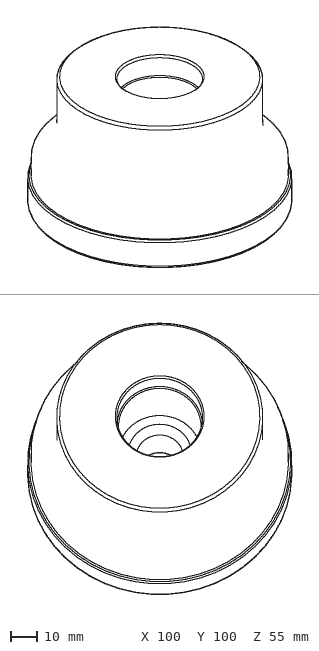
import cadquery as cq
import math

height = 55.0
base_radius = 50.0
base_height = 12.0
base_chamfer_width = 0.5
base_chamfer_height = 0.9
shoulder_radius = 48.7
neck_radius = 39.0
neck_bottom = 35.5
neck_chamfer = 1.1

flare_angle = math.radians(45)
neck_blend = 10.0
shoulder_blend = 4.0

mouth_radius = 16.2
mouth_depth = 8.8
mouth_chamfer = 0.6
mouth_chamfer_depth = 1.0
bore_radius = 15.6
bore_step_height = 0.4
bore_floor = 20.0
hole_radius = 8.9
seat_radius = 12.0
seat_depth = seat_radius - hole_radius


def blend_offsets(radius, angle):
    """Radial and axial change along an arc that starts parallel to the axis."""
    return radius * (1 - math.cos(angle)), radius * math.sin(angle)


def turned_body():
    full_dr, full_dz = blend_offsets(neck_blend, flare_angle)
    half_dr, half_dz = blend_offsets(neck_blend, flare_angle / 2)
    neck_mid = (neck_radius + half_dr, neck_bottom - half_dz)
    cone_top = (neck_radius + full_dr, neck_bottom - full_dz)

    full_dr, full_dz = blend_offsets(shoulder_blend, flare_angle)
    half_dr, half_dz = blend_offsets(shoulder_blend, flare_angle / 2)
    cone_bottom_radius = shoulder_radius - full_dr
    cone_height = (cone_bottom_radius - cone_top[0]) / math.tan(flare_angle)
    cone_bottom = (cone_bottom_radius, cone_top[1] - cone_height)
    shoulder_top = cone_bottom[1] - full_dz
    shoulder_mid = (shoulder_radius - half_dr, shoulder_top + half_dz)

    return (
        cq.Workplane("XZ")
        .moveTo(0, 0)
        .lineTo(base_radius - base_chamfer_width, 0)
        .lineTo(base_radius, base_chamfer_height)
        .lineTo(base_radius, base_height - base_chamfer_height)
        .lineTo(base_radius - base_chamfer_width, base_height)
        .lineTo(shoulder_radius, base_height)
        .lineTo(shoulder_radius, shoulder_top)
        .threePointArc(shoulder_mid, cone_bottom)
        .lineTo(*cone_top)
        .threePointArc(neck_mid, (neck_radius, neck_bottom))
        .lineTo(neck_radius, height - neck_chamfer)
        .lineTo(neck_radius - neck_chamfer, height)
        .lineTo(0, height)
        .close()
        .revolve(360, (0, 0), (0, 1))
    )


def stepped_bore():
    """Solid to remove: chamfered mouth, bore, conical seat and through hole."""
    mouth_bottom = height - mouth_depth
    return (
        cq.Workplane("XZ")
        .moveTo(0, 0)
        .lineTo(hole_radius, 0)
        .lineTo(hole_radius, bore_floor - seat_depth)
        .lineTo(seat_radius, bore_floor)
        .lineTo(bore_radius, bore_floor)
        .lineTo(bore_radius, mouth_bottom - bore_step_height)
        .lineTo(mouth_radius, mouth_bottom)
        .lineTo(mouth_radius, height - mouth_chamfer_depth)
        .lineTo(mouth_radius + mouth_chamfer, height)
        .lineTo(0, height)
        .close()
        .revolve(360, (0, 0), (0, 1))
    )


result = turned_body().cut(stepped_bore())